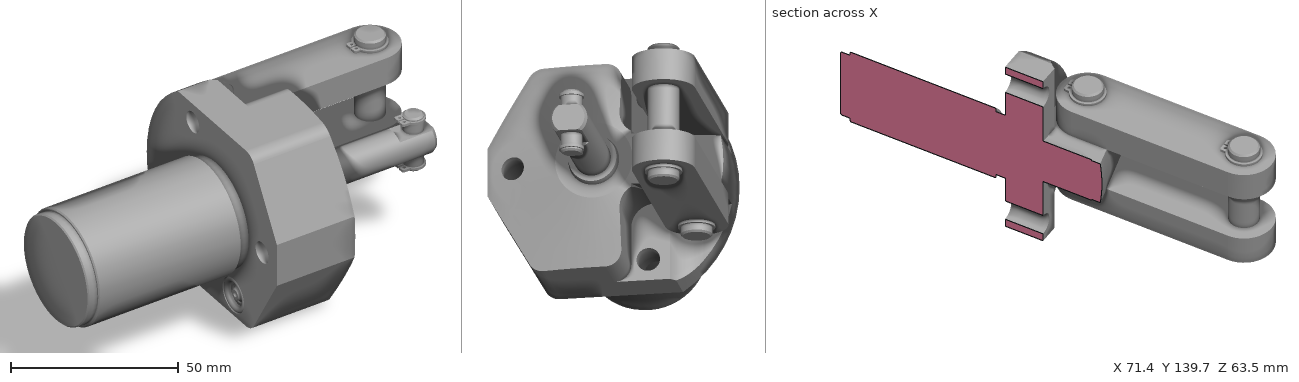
import cadquery as cq
import math


head_radius = 38.0
head_height = 63.5
head_right = 33.4
slope_angle = 60
tip_half_height = 7.4
corner_radius = 4.9
crown_top = 33.7
crown_radius = 11.7
crown_angle = 15
collar_base_radius = 7.7
collar_top_radius = 7.3
collar_height = 2.2
mount_hole_diameter = 7.1
mount_holes = [(25.3, 0), (-12.7, 25.3), (-12.7, -25.3)]

neck_radius = 17.9
barrel_radius = 18.9
barrel_start = -3.1
barrel_end = -53.8
cap_end = -57.0
barrel_chamfer = 0.4

web_half_thickness = 7.8
pocket_floor = 13.1
pocket_wall = -7.5
wall_round = 5.0
web_fillet = 7.3
swing_start = 24.9
swing_angle = 24
link_clearance = 1.5

port_x = 9.5
port_z = -24.6
port_radius = 5.9
seal_tube_radius = 0.91
bore_radius = 3.2
bore_step = 0.5
nipple_base_radius = 2.8
nipple_tip_radius = 1.7
nipple_hole_radius = 0.8
nipple_tip_depth = 0.5

link_width = 19.0
link_thickness = 9.6
link_pin_x = -28.5
lower_pin_y = 19.3
pin_spacing = 53.9
link_pin_radius = 4.7
link_pin_half_length = 21.0
pin_chamfer = 0.5

rod_radius = 5.6
rod_top = 75.5
rod_chamfer_length = 1.1
rod_chamfer_depth = 0.7
flat_start = 62.9
flat_thickness = 8.0
rod_pin_y = 70.1
rod_pin_radius = 3.2
rod_pin_half_length = 9.6

clip_thickness = 0.8
link_clip_radius = 5.6
link_clip_reach = 7.0
rod_clip_radius = 3.8
rod_clip_reach = 5.3
rod_clip_offset = 1.0
ear_half_width = 2.5
ear_corner = 0.7
ear_hole_radius = 0.49
ear_hole_inset = 1.3
ear_slit = 0.5

cut_margin = 1.4

head_half_height = head_height / 2
flat_half_thickness = flat_thickness / 2
link_radius = link_width / 2
link_outer_face = web_half_thickness + link_thickness
upper_pin_y = lower_pin_y + pin_spacing
collar_top = crown_top + collar_height
crown_drop_per_unit = math.tan(math.radians(crown_angle))


def block(x_range, y_range, z_range):
    """Box between pairs of X, Y and Z limits."""
    low, high = zip(x_range, y_range, z_range)
    size = [b - a for a, b in zip(low, high)]
    return cq.Workplane("XY").box(*size, centered=False).translate(low)


def along_y(start):
    """XZ work plane at y = start, on which shapes extrude toward +Y and sketch (x, -z)."""
    return cq.Workplane(cq.Plane((0, start, 0), (1, 0, 0), (0, 1, 0)))


def turned(profile):
    """Solid turned about the Y axis from (radius, y) points."""
    return cq.Workplane("XY").polyline(profile).close().revolve(360, (0, 0), (0, 1))


def along_z(start):
    """XY work plane at z = start."""
    return cq.Workplane("XY").workplane(offset=start)


def both_sides(shape):
    """Shape and its mirror image across z = 0."""
    return [shape, shape.mirror("XY")]



def make_head():
    """Flanged head: round on the left, flat top and bottom, sloped to the right."""
    slope_run = (head_half_height - tip_half_height) / math.tan(math.radians(slope_angle))
    shoulder = head_right - slope_run
    arc_end = -math.sqrt(head_radius**2 - head_half_height**2)
    head = (
        along_y(0)
        .moveTo(arc_end, head_half_height)
        .lineTo(shoulder, head_half_height)
        .lineTo(head_right, tip_half_height)
        .lineTo(head_right, -tip_half_height)
        .lineTo(shoulder, -head_half_height)
        .lineTo(arc_end, -head_half_height)
        .threePointArc((-head_radius, 0), (arc_end, head_half_height))
        .close()
        .extrude(crown_top)
    )
    shoulder_edges = cq.selectors.BoxSelector(
        (0, 0, -head_half_height - cut_margin),
        (head_right - cut_margin, crown_top, head_half_height + cut_margin),
    )
    return head.edges("|Y").edges(shoulder_edges).fillet(corner_radius)


def make_crown_envelope():
    """Round envelope whose top slopes down as a cone from the flat middle."""
    rim = head_radius + cut_margin
    rim_height = crown_top - (rim - crown_radius) * crown_drop_per_unit
    return turned([(0, 0), (rim, 0), (rim, rim_height), (crown_radius, crown_top), (0, crown_top)])


def make_barrel():
    """Necked cylinder barrel with its end cap."""
    profile = [
        (0, 0),
        (neck_radius, 0),
        (neck_radius, barrel_start),
        (barrel_radius - barrel_chamfer, barrel_start),
        (barrel_radius, barrel_start - barrel_chamfer),
        (barrel_radius, barrel_end + barrel_chamfer),
        (barrel_radius - barrel_chamfer, barrel_end),
        (neck_radius, barrel_end),
        (neck_radius, cap_end + barrel_chamfer),
        (neck_radius - barrel_chamfer, cap_end),
        (0, cap_end),
    ]
    return turned(profile)


def make_collar():
    """Slightly tapered rod guide on top of the crown."""
    return turned([
        (0, crown_top),
        (collar_base_radius, crown_top),
        (collar_top_radius, collar_top),
        (0, collar_top),
    ])


def make_side_pocket():
    """Space cut away beside the web at +Z, with a rounded and filleted end wall."""
    outside = -head_radius - cut_margin
    top = head_half_height
    over = top + cut_margin
    round_start = pocket_wall + wall_round
    fillet_end = pocket_wall - web_fillet
    diagonal = math.sqrt(0.5)
    round_mid = (round_start - wall_round * diagonal, top - wall_round + wall_round * diagonal)
    fillet_mid = (
        fillet_end + web_fillet * diagonal,
        web_half_thickness + web_fillet - web_fillet * diagonal,
    )

    def at(x, z):
        return x, -z

    return (
        along_y(pocket_floor)
        .moveTo(*at(outside, over))
        .lineTo(*at(round_start, over))
        .lineTo(*at(round_start, top))
        .threePointArc(at(*round_mid), at(pocket_wall, top - wall_round))
        .lineTo(*at(pocket_wall, web_half_thickness + web_fillet))
        .threePointArc(at(*fillet_mid), at(fillet_end, web_half_thickness))
        .lineTo(*at(outside, web_half_thickness))
        .close()
        .extrude(crown_top)
    )


def make_swing_relief():
    """Slanted relief at +Z that lets a link tilt past the web fillet."""
    x_start = pocket_wall - web_fillet
    rise = collar_top - swing_start
    x_end = x_start + rise * math.tan(math.radians(swing_angle))
    return (
        along_z(web_half_thickness)
        .polyline([(x_start, swing_start), (x_end, collar_top), (x_start, collar_top)])
        .close()
        .extrude(web_fillet)
    )


def make_link_end_relief():
    """Clearance at +Z below the lower link end, open toward -X."""
    radius = link_radius + link_clearance
    height = head_half_height - web_half_thickness + cut_margin
    relief = along_z(web_half_thickness).center(link_pin_x, lower_pin_y).circle(radius).extrude(height)
    opening = block(
        (-head_radius - cut_margin, link_pin_x),
        (lower_pin_y - radius, lower_pin_y),
        (web_half_thickness, web_half_thickness + height),
    )
    return relief.union(opening)


def make_port():
    """Material removed for the port, leaving a seal ring and a conical nipple."""
    depth = 2 * seal_tube_radius
    recess = along_y(0).circle(port_radius).extrude(depth)
    seal_centre = port_radius - seal_tube_radius
    seal = (
        cq.Workplane("XY")
        .center(seal_centre, seal_tube_radius)
        .circle(seal_tube_radius)
        .revolve(360, (-seal_centre, 0), (-seal_centre, 1))
    )
    seat = (
        along_y(seal_tube_radius)
        .circle(port_radius)
        .circle(port_radius - 2 * seal_tube_radius)
        .extrude(seal_tube_radius)
    )
    bore = along_y(depth).circle(bore_radius).extrude(bore_step)
    nipple = turned([
        (nipple_hole_radius, depth + bore_step),
        (nipple_base_radius, depth + bore_step),
        (nipple_tip_radius, nipple_tip_depth),
        (nipple_hole_radius, nipple_tip_depth),
    ])
    return recess.union(bore).cut(seal).cut(seat).cut(nipple).translate((port_x, 0, port_z))


def make_housing():
    head = make_head().intersect(make_crown_envelope())
    for pocket in (make_side_pocket(), make_swing_relief(), make_link_end_relief()):
        for side in both_sides(pocket):
            head = head.cut(side)
    holes = along_y(0).pushPoints(mount_holes).circle(mount_hole_diameter / 2).extrude(crown_top)
    pin_bore = (
        along_z(-web_half_thickness)
        .center(link_pin_x, lower_pin_y)
        .circle(link_pin_radius)
        .extrude(2 * web_half_thickness)
    )
    head = head.cut(holes).cut(make_port()).cut(pin_bore)
    rod_bore = along_y(0).circle(rod_radius).extrude(collar_top)
    return head.union(make_barrel()).union(make_collar()).cut(rod_bore)



def make_pin(radius, half_length):
    """Chamfered pin along Z, centred at the origin."""
    return along_z(-half_length).circle(radius).extrude(2 * half_length).faces("|Z").chamfer(pin_chamfer)


def make_clip(radius, reach):
    """Split retaining clip with two drilled ears toward -Y, lower face at z = 0."""
    ears = (
        block((-ear_half_width, ear_half_width), (-reach, 0), (0, clip_thickness))
        .edges("|Z and <Y")
        .fillet(ear_corner)
    )
    slit = block((-ear_slit / 2, ear_slit / 2), (-reach, 0), (0, clip_thickness))
    hole_y = ear_hole_inset - reach
    holes = (
        along_z(0)
        .pushPoints([(side * ear_half_width / 2, hole_y) for side in (-1, 1)])
        .circle(ear_hole_radius)
        .extrude(clip_thickness)
    )
    return along_z(0).circle(radius).extrude(clip_thickness).union(ears).cut(slit).cut(holes)


def make_clipped_pin(pin_radius, half_length, clip_radius, clip_reach, clip_z):
    """Pin with a clip at either end; clip_z is the inner face of the clip."""
    pin = make_pin(pin_radius, half_length)
    for clip in both_sides(make_clip(clip_radius, clip_reach).translate((0, 0, clip_z))):
        pin = pin.union(clip)
    return pin



def make_rod():
    """Rod with two end flats and a clipped cross pin."""
    shoulder = rod_top - rod_chamfer_length
    rod = turned([
        (0, 0),
        (rod_radius, 0),
        (rod_radius, shoulder),
        (rod_radius - rod_chamfer_depth, rod_top),
        (0, rod_top),
    ])
    flat = block((-rod_radius, rod_radius), (flat_start, rod_top), (flat_half_thickness, rod_radius))
    for side in both_sides(flat):
        rod = rod.cut(side)
    clip_z = rod_pin_half_length - rod_clip_offset - clip_thickness
    pin = make_clipped_pin(rod_pin_radius, rod_pin_half_length, rod_clip_radius, rod_clip_reach, clip_z)
    return rod.union(pin.translate((0, rod_pin_y, 0)))



def make_linkage():
    """Two parallel links joined by two clipped pins."""
    link = (
        along_z(web_half_thickness)
        .center(link_pin_x, (lower_pin_y + upper_pin_y) / 2)
        .slot2D(pin_spacing + link_width, link_width, 90)
        .extrude(link_thickness)
    )
    lower_link, upper_link = both_sides(link)
    linkage = lower_link.union(upper_link)
    for pin_y in (lower_pin_y, upper_pin_y):
        pin = make_clipped_pin(
            link_pin_radius, link_pin_half_length, link_clip_radius, link_clip_reach, link_outer_face
        )
        linkage = linkage.union(pin.translate((link_pin_x, pin_y, 0)))
    return linkage


housing = make_housing()
rod = make_rod()
linkage = make_linkage()

result = cq.Compound.makeCompound([*housing.solids().vals(), *rod.solids().vals(), *linkage.solids().vals()])